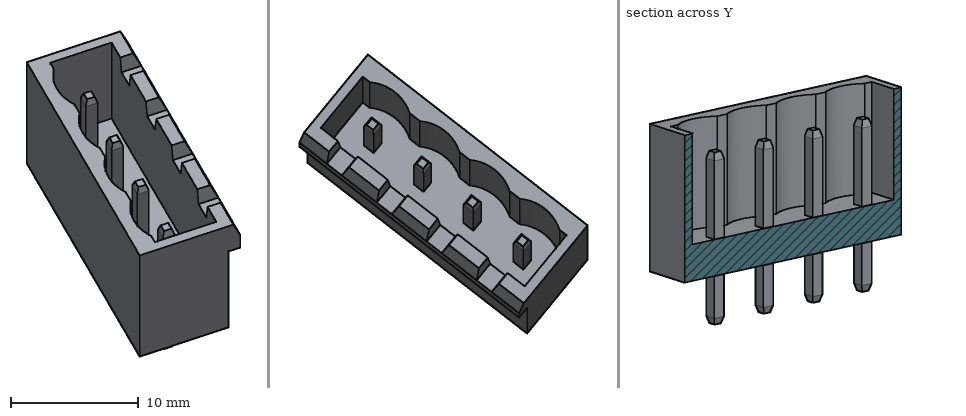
import cadquery as cq

pin_count = 4
pitch = 5.0

body_length = 22.0
body_width = 7.6
body_height = 12.0
front_y = -body_width / 2
back_y = body_width / 2

lip_overhang = 1.0
lip_height = 3.0
lip_bevel_width = 0.6
lip_bevel_height = 1.5

end_wall = 0.8
back_wall = 0.7
front_wall = 1.65
floor_thickness = 3.0
scallop_chord = 4.0
scallop_depth = 0.6

notch_top_width = 2.0
notch_floor_width = 1.5
notch_depth = lip_bevel_height

pin_width = 1.0
pin_tip_width = 0.65
pin_tip_length = 0.6
pin_bottom_z = -4.0
pin_top_z = 10.0

pin_positions = [(i - (pin_count - 1) / 2) * pitch for i in range(pin_count)]


def make_housing():
    """Extrude the end profile, including the bevelled lip, along X."""
    lip_y = back_y + lip_overhang
    profile = [
        (front_y, 0),
        (back_y, 0),
        (back_y, body_height - lip_height),
        (lip_y, body_height - lip_height),
        (lip_y, body_height - lip_bevel_height),
        (lip_y - lip_bevel_width, body_height),
        (front_y, body_height),
    ]
    return cq.Workplane("YZ").polyline(profile).close().extrude(body_length / 2, both=True)


def make_cavity():
    """Rectangular pocket with one shallow arc in its front wall per pin."""
    half_length = body_length / 2 - end_wall
    cavity_front_y = front_y + front_wall
    cavity_back_y = back_y - back_wall
    outline = cq.Workplane("XY", origin=(0, 0, floor_thickness))
    outline = outline.moveTo(-half_length, cavity_back_y).lineTo(-half_length, cavity_front_y)
    for x in pin_positions:
        outline = outline.lineTo(x - scallop_chord / 2, cavity_front_y).threePointArc(
            (x, cavity_front_y - scallop_depth),
            (x + scallop_chord / 2, cavity_front_y),
        )
    outline = outline.lineTo(half_length, cavity_front_y).lineTo(half_length, cavity_back_y)
    return outline.close().extrude(body_height - floor_thickness)


def make_notch(x):
    """Trapezoidal cutter through the back wall and lip, from the cavity outwards."""
    notch_floor_z = body_height - notch_depth
    profile = [
        (x - notch_floor_width / 2, notch_floor_z),
        (x + notch_floor_width / 2, notch_floor_z),
        (x + notch_top_width / 2, body_height),
        (x - notch_top_width / 2, body_height),
    ]
    cutter = cq.Workplane("XZ", origin=(0, back_y - back_wall, 0)).polyline(profile).close()
    return cutter.extrude(-(back_wall + lip_overhang))


def make_pin(x):
    """Square pin whose two ends taper to a smaller square."""
    shank_bottom_z = pin_bottom_z + pin_tip_length
    shank_top_z = pin_top_z - pin_tip_length
    pin = cq.Workplane("XY", origin=(x, 0, shank_bottom_z)).rect(pin_width, pin_width)
    pin = pin.extrude(shank_top_z - shank_bottom_z)
    for shank_end_z, tip_z in ((shank_bottom_z, pin_bottom_z), (shank_top_z, pin_top_z)):
        tip = (
            cq.Workplane("XY", origin=(x, 0, shank_end_z))
            .rect(pin_width, pin_width)
            .workplane(offset=tip_z - shank_end_z)
            .rect(pin_tip_width, pin_tip_width)
            .loft(ruled=True)
        )
        pin = pin.union(tip)
    return pin


result = make_housing().cut(make_cavity())
for pin_x in pin_positions:
    result = result.cut(make_notch(pin_x)).union(make_pin(pin_x))